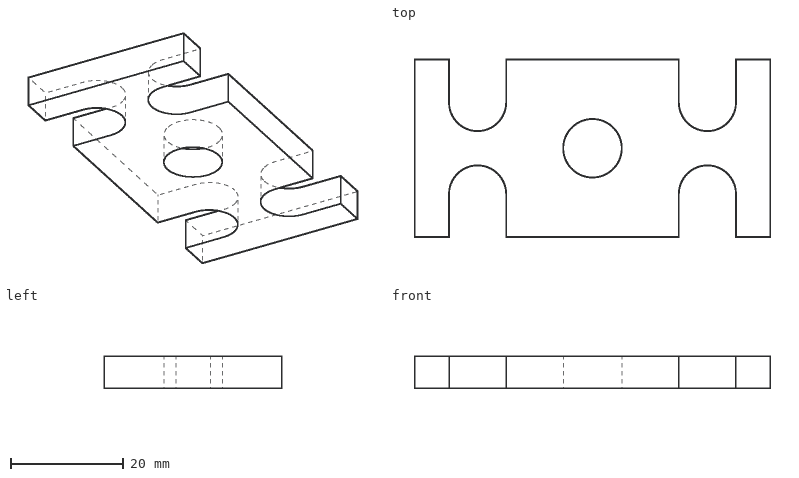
import cadquery as cq

length = 63.5
width = 31.75
thickness = 5.8

hole_diameter = 10.4

slot_width = 10.15
end_bar_width = 6.15
web_width = 6.15
slot_radius = slot_width / 2
slot_x = length / 2 - end_bar_width - slot_radius
slot_tip_y = web_width / 2
arc_center_y = slot_tip_y + slot_radius


def edge_slot(x, side):
    """Cutter for a slot centred at x, open toward +Y (side=1) or -Y (side=-1)."""
    return (
        cq.Workplane("XY")
        .moveTo(x - slot_radius, side * width / 2)
        .lineTo(x - slot_radius, side * arc_center_y)
        .threePointArc((x, side * slot_tip_y), (x + slot_radius, side * arc_center_y))
        .lineTo(x + slot_radius, side * width / 2)
        .close()
        .extrude(thickness)
    )


plate = cq.Workplane("XY").box(length, width, thickness, centered=(True, True, False))
result = plate.faces(">Z").workplane().hole(hole_diameter)

for x in (-slot_x, slot_x):
    for side in (-1, 1):
        result = result.cut(edge_slot(x, side))